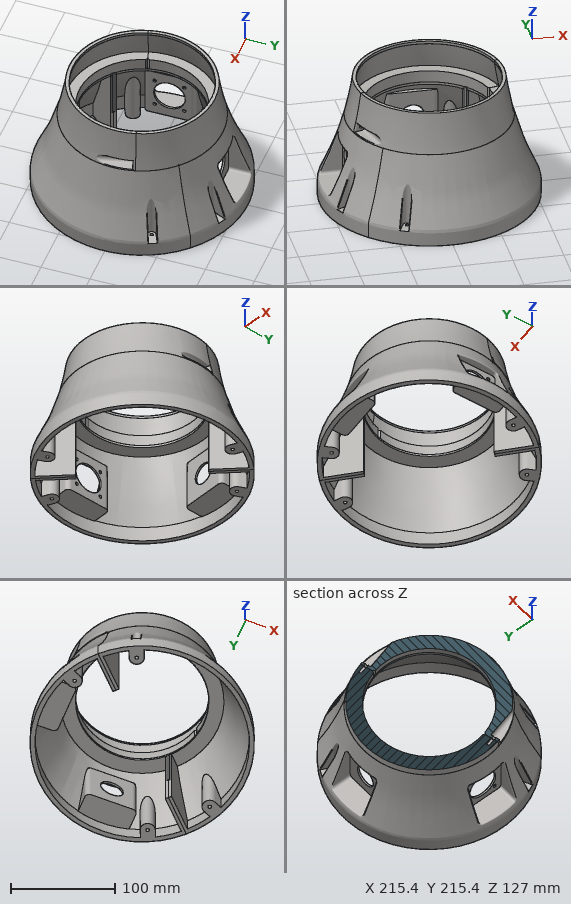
import cadquery as cq
import math

FOOT_RADIUS = 107.7
TOTAL_HEIGHT = 127.0
FOOT_CORNER_HEIGHT = 15.5
FOOT_ROUND = 7.5
TOP_RADIUS = 73.9
SPLIT_HEIGHT = 86.0
WAIST_HEIGHT = 71.0
WAIST_RADIUS = 86.0

WALL = 3.9
BORE_RADIUS = 64.0
LEDGE_HEIGHT = 98.0
TOP_BORE_RADIUS = 70.2
TOP_BORE_DEPTH = 2.8
LOWER_ROOF_THICKNESS = 2.5
FOOT_BORE_RADIUS = 103.0

LOWER_SEAM_ANGLE = 45.0
UPPER_SEAM_ANGLE = 15.0
SEAM_CHAMFER = 1.7
LOWER_GROOVE_BOTTOM = 35.3
RIB_WIDTH = 6.5

CABLE_ANGLE = 90.0
CONNECTOR_ANGLE = 180.0
WINDOW_ANGLES = (CABLE_ANGLE, CONNECTOR_ANGLE)
WINDOW_SIZE = 45.0
WINDOW_HEIGHT = 42.0
WINDOW_CORNER = 3.0
WINDOW_EDGE_ROUND = 1.0
PLATE_RADIUS = 80.0
PLATE_THICKNESS = 2.2
BOX_WALL = WALL
BOX_CORNER = 4.7
CONNECTOR_DIAMETER = 32.0
CABLE_DIAMETER = 23.5
SCREW_PITCH = 30.1

SCREW_DIAMETER = 3.2
TAP_DIAMETER = 2.5
NOTCH_RADIUS = 8.5 / 2
NOTCH_EDGE_ROUND = 0.6
LOWER_SCREW_RADIUS = 94.7
LOWER_SCREW_OFFSET = 20.0
LOWER_SEAT_HEIGHT = 14.9
BOSS_RADIUS = 7.3
UPPER_SCREW_RADIUS = 75.0
UPPER_SCREW_HEIGHT = 92.0
UPPER_SEAT_DISTANCE = 2.8
TAP_DEPTH = 8.6

FAR = 2 * FOOT_RADIUS
MARGIN = 0.5


def circle_through(p, q, s):
    """Centre (r, z) and radius of the circle through three points."""
    d = 2 * (p[0] * (q[1] - s[1]) + q[0] * (s[1] - p[1]) + s[0] * (p[1] - q[1]))
    pp, qq, ss = (a[0] ** 2 + a[1] ** 2 for a in (p, q, s))
    r = (pp * (q[1] - s[1]) + qq * (s[1] - p[1]) + ss * (p[1] - q[1])) / d
    z = (pp * (s[0] - q[0]) + qq * (p[0] - s[0]) + ss * (q[0] - p[0])) / d
    return r, z, math.hypot(p[0] - r, p[1] - z)


FLARE_R, FLARE_Z, FLARE_RADIUS = circle_through(
    (FOOT_RADIUS, FOOT_CORNER_HEIGHT), (WAIST_RADIUS, WAIST_HEIGHT), (TOP_RADIUS, TOTAL_HEIGHT)
)


def flare(z, inset=0.0):
    """Point (r, z) on the concave flare, moved inward by inset."""
    return FLARE_R - math.sqrt((FLARE_RADIUS + inset) ** 2 - (z - FLARE_Z) ** 2), z


def turned(shape, angle):
    return shape.rotate((0, 0, 0), (0, 0, 1), angle)


def flared_disc(bottom, top, inset=0.0):
    """Solid of revolution between two heights whose side is the flare."""
    section = (
        cq.Workplane("XZ")
        .moveTo(0, bottom)
        .lineTo(*flare(bottom, inset))
        .threePointArc(flare((bottom + top) / 2, inset), flare(top, inset))
        .lineTo(0, top)
        .close()
    )
    return turned(section.revolve(360, (0, 0, 0), (0, 1, 0)), LOWER_SEAM_ANGLE)


def disc(radius, bottom, top):
    return cq.Workplane("XY").workplane(offset=bottom).circle(radius).extrude(top - bottom)


def half_space(angle):
    """Block that holds everything counterclockwise of the seam plane at the given angle."""
    block = cq.Workplane("XY").box(2 * FAR, FAR, 2 * FAR, centered=(True, False, True))
    return turned(block, angle)


def halves(ring, seam_angle):
    """The ring's half counterclockwise of the seam, then the other half."""
    return ring.intersect(half_space(seam_angle)), ring.intersect(half_space(seam_angle + 180))


def seam_grooves(seam_angle, bottom):
    """V grooves that chamfer the bore edges of both halves at the two seams."""
    side = SEAM_CHAMFER * math.sqrt(2)
    bar = cq.Workplane("XY").rect(side, side).extrude(TOTAL_HEIGHT)
    bar = turned(bar, 45).translate((BORE_RADIUS, 0, bottom))
    return turned(bar, seam_angle).union(turned(bar, seam_angle + 180))


def cut_with_round_rim(body, recess, rim_round, rim_zone):
    """Cut a recess into the body and round the new edges on its flare that end in the rim zone."""
    lowest, highest = rim_zone
    old_edges = set(body.edges().vals())
    body = body.cut(recess)
    rim = [
        edge
        for edge in body.faces("%TORUS").edges().vals()
        if edge not in old_edges and lowest < edge.BoundingBox().zmax < highest
    ]
    return body.newObject(rim).fillet(rim_round)


LOWER_SCREW_ANGLES = [
    LOWER_SEAM_ANGLE + half + side * LOWER_SCREW_OFFSET for half in (0, 180) for side in (-1, 1)
]
CAVITY_BOTTOM = FLARE_Z - math.sqrt((FLARE_RADIUS + WALL) ** 2 - (FLARE_R - FOOT_BORE_RADIUS) ** 2)


def lower_outside():
    foot = disc(FOOT_RADIUS, 0, FOOT_CORNER_HEIGHT)
    outside = foot.union(flared_disc(FOOT_CORNER_HEIGHT, SPLIT_HEIGHT))
    corner = cq.selectors.BoxSelector(
        (-FAR, -FAR, FOOT_CORNER_HEIGHT - MARGIN), (FAR, FAR, FOOT_CORNER_HEIGHT + MARGIN)
    )
    return outside.edges(corner).fillet(FOOT_ROUND)


def lower_cavity():
    roof = SPLIT_HEIGHT - LOWER_ROOF_THICKNESS
    return (
        disc(FOOT_BORE_RADIUS, 0, CAVITY_BOTTOM)
        .union(flared_disc(CAVITY_BOTTOM, roof, WALL))
        .union(disc(BORE_RADIUS, 0, SPLIT_HEIGHT))
    )


def radial_slot(radius, bottom, top):
    """Vertical round-ended slot from the lower screw axis outward along +X."""
    end = cq.Workplane("XY").circle(radius).extrude(top - bottom)
    run = cq.Workplane("XY").box(FOOT_RADIUS, 2 * radius, top - bottom, centered=(False, True, False))
    return end.union(run).translate((LOWER_SCREW_RADIUS, 0, bottom))


def window_block(size, corner, start):
    """Square block along +X, centred on the window, from the given radius outward."""
    return (
        cq.Workplane("YZ")
        .workplane(offset=start)
        .center(0, WINDOW_HEIGHT)
        .rect(size, size)
        .extrude(FOOT_RADIUS - start)
        .edges("|X")
        .fillet(corner)
    )


def window_box():
    """Outside of the box behind a window, as it stands in the cavity."""
    size = WINDOW_SIZE + 2 * BOX_WALL
    depth = FOOT_RADIUS - PLATE_RADIUS + PLATE_THICKNESS
    block = cq.Workplane("XY").box(depth, size, size, centered=(False, True, True))
    block = block.translate((PLATE_RADIUS - PLATE_THICKNESS, 0, WINDOW_HEIGHT))
    return block.edges("|Z and <X").fillet(BOX_CORNER)


def plate_hole(diameter, points):
    """Round holes along +X through the plate of a window, placed about its centre."""
    plane = cq.Workplane("YZ").workplane(offset=BORE_RADIUS).center(0, WINDOW_HEIGHT)
    return plane.pushPoints(points).circle(diameter / 2).extrude(PLATE_RADIUS - BORE_RADIUS)


def connector_holes():
    half = SCREW_PITCH / 2
    corners = [(y, z) for y in (-half, half) for z in (-half, half)]
    return plate_hole(CONNECTOR_DIAMETER, [(0, 0)]).union(plate_hole(SCREW_DIAMETER, corners))


def lower_ring():
    cavity = lower_cavity()
    for angle in WINDOW_ANGLES:
        cavity = cavity.cut(turned(window_box(), angle))
    for angle in LOWER_SCREW_ANGLES:
        cavity = cavity.cut(turned(radial_slot(BOSS_RADIUS, 0, SPLIT_HEIGHT), angle))
    rib = cq.Workplane("XY").box(FOOT_RADIUS, RIB_WIDTH, SPLIT_HEIGHT, centered=(False, True, False))
    rib = rib.translate((BORE_RADIUS, 0, 0))
    for angle in (LOWER_SEAM_ANGLE, LOWER_SEAM_ANGLE + 180):
        cavity = cavity.cut(turned(rib, angle))

    ring = lower_outside()
    rim_zone = (WINDOW_HEIGHT - WINDOW_SIZE / 2 - MARGIN, SPLIT_HEIGHT - MARGIN)
    window = window_block(WINDOW_SIZE, WINDOW_CORNER, PLATE_RADIUS)
    for angle in WINDOW_ANGLES:
        ring = cut_with_round_rim(ring, turned(window, angle), WINDOW_EDGE_ROUND, rim_zone)
    notch = radial_slot(NOTCH_RADIUS, LOWER_SEAT_HEIGHT, SPLIT_HEIGHT)
    for angle in LOWER_SCREW_ANGLES:
        ring = cut_with_round_rim(ring, turned(notch, angle), NOTCH_EDGE_ROUND, rim_zone)
    ring = ring.cut(cavity).cut(seam_grooves(LOWER_SEAM_ANGLE, LOWER_GROOVE_BOTTOM))
    ring = ring.cut(turned(connector_holes(), CONNECTOR_ANGLE))
    ring = ring.cut(turned(plate_hole(CABLE_DIAMETER, [(0, 0)]), CABLE_ANGLE))
    axis = cq.Workplane("XY").center(LOWER_SCREW_RADIUS, 0)
    screw = axis.circle(SCREW_DIAMETER / 2).extrude(SPLIT_HEIGHT)
    for angle in LOWER_SCREW_ANGLES:
        ring = ring.cut(turned(screw, angle))
    return ring


def upper_notch():
    """Round-ended slot along -Y that starts at the screw seat and opens outward along +X."""
    seat = cq.Workplane("XZ").workplane(offset=UPPER_SEAT_DISTANCE)
    profile = seat.center(UPPER_SCREW_RADIUS, UPPER_SCREW_HEIGHT)
    end = profile.circle(NOTCH_RADIUS).extrude(FOOT_RADIUS)
    run = profile.center(FOOT_RADIUS / 2, 0).rect(FOOT_RADIUS, 2 * NOTCH_RADIUS).extrude(FOOT_RADIUS)
    return end.union(run)


def upper_screw():
    """Clearance hole from the seat to the seam, then a tapped hole in the other half."""
    axis = cq.Workplane("XZ").center(UPPER_SCREW_RADIUS, UPPER_SCREW_HEIGHT)
    clearance = axis.circle(SCREW_DIAMETER / 2).extrude(UPPER_SEAT_DISTANCE)
    tapped = axis.circle(TAP_DIAMETER / 2).extrude(-TAP_DEPTH)
    return clearance.union(tapped)


def upper_ring():
    ring = flared_disc(SPLIT_HEIGHT, TOTAL_HEIGHT)
    ring = ring.cut(flared_disc(LEDGE_HEIGHT, TOTAL_HEIGHT - TOP_BORE_DEPTH, WALL))
    ring = ring.cut(disc(TOP_BORE_RADIUS, LEDGE_HEIGHT, TOTAL_HEIGHT))
    ring = ring.cut(disc(BORE_RADIUS, SPLIT_HEIGHT, LEDGE_HEIGHT))
    ring = ring.cut(seam_grooves(UPPER_SEAM_ANGLE, SPLIT_HEIGHT))
    rim_zone = (SPLIT_HEIGHT + MARGIN, TOTAL_HEIGHT - MARGIN)
    for mirrored in (False, True):
        notch = upper_notch()
        screw = upper_screw()
        if mirrored:
            notch = notch.mirror("YZ")
            screw = screw.mirror("YZ")
        ring = cut_with_round_rim(ring, turned(notch, UPPER_SEAM_ANGLE), NOTCH_EDGE_ROUND, rim_zone)
        ring = ring.cut(turned(screw, UPPER_SEAM_ANGLE))
    return ring


lower_window_half, lower_plain_half = halves(lower_ring(), LOWER_SEAM_ANGLE)
upper_tapped_half, upper_notched_half = halves(upper_ring(), UPPER_SEAM_ANGLE)

result = cq.Compound.makeCompound(
    [lower_window_half.val(), lower_plain_half.val(), upper_tapped_half.val(), upper_notched_half.val()]
)